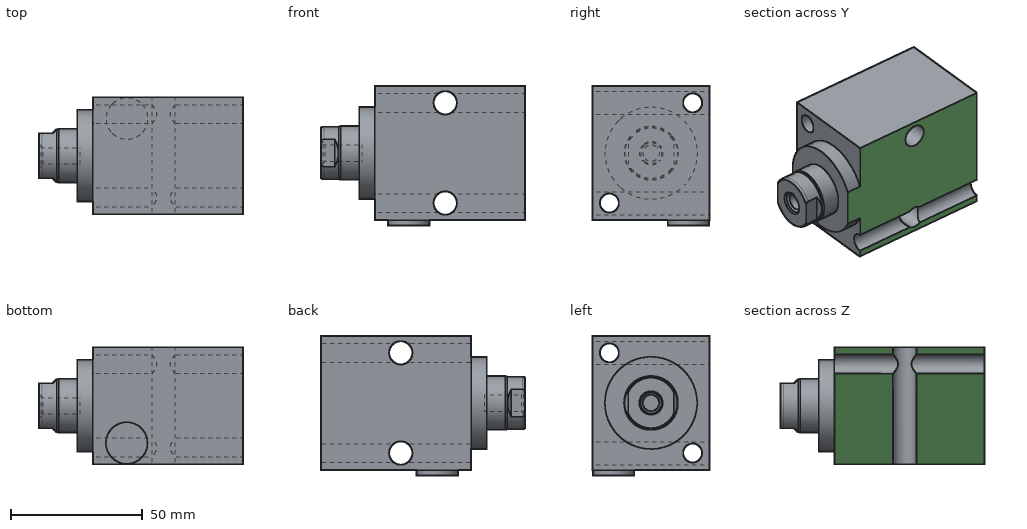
import cadquery as cq

body_length = 57.0
body_width = 44.5
body_height = 51.0

collar_diameter = 35.0
collar_length = 6.0

overall_length = 77.5
rod_length = overall_length - body_length - collar_length
rod_diameter = 20.5
rod_tip_x = body_length - overall_length
neck_diameter = 20.1
neck_length = 6.8
shoulder_length = 0.7
tip_round_length = 1.0
tip_round_depth = 0.5
tip_round_radius = (tip_round_length**2 + tip_round_depth**2) / (2 * tip_round_depth)

flat_spacing = 17.2
flat_length = 5.2

bore_diameter = 6.2
bore_depth = 15.5
mouth_diameter = 8.9
mouth_cone_depth = 0.7
throat_diameter = 8.0
throat_cone_depth = 0.7

hole_spacing_z = 38.0
cross_hole_diameter = 8.75
cross_hole_x = 26.7
long_hole_diameter = 7.1
long_hole_spacing_y = 31.6

pad_diameter = 15.8
pad_height = 2.1
pad_x = 12.85
pad_y = 14.2


def cylinder_x(start_x, length, diameter):
    return cq.Workplane("YZ", origin=(start_x, 0, 0)).circle(diameter / 2).extrude(length)


def make_rod():
    rod_radius = rod_diameter / 2
    neck_radius = neck_diameter / 2
    shoulder_x = rod_tip_x + neck_length
    rod = (
        cq.Workplane("XY")
        .moveTo(rod_tip_x, 0)
        .lineTo(rod_tip_x, neck_radius - tip_round_depth)
        .radiusArc((rod_tip_x + tip_round_length, neck_radius), tip_round_radius)
        .lineTo(shoulder_x, neck_radius)
        .lineTo(shoulder_x + shoulder_length, rod_radius)
        .lineTo(rod_tip_x + rod_length, rod_radius)
        .lineTo(rod_tip_x + rod_length, 0)
        .close()
        .revolve(360, (0, 0, 0), (1, 0, 0))
    )
    half_flat = flat_spacing / 2
    runout = rod_radius - half_flat
    flat_end_x = rod_tip_x + flat_length
    for side in (-1, 1):
        flat_cut = (
            cq.Workplane("XY")
            .moveTo(rod_tip_x, side * half_flat)
            .lineTo(flat_end_x, side * half_flat)
            .lineTo(flat_end_x + runout, side * rod_radius)
            .lineTo(rod_tip_x, side * rod_radius)
            .close()
            .extrude(rod_radius, both=True)
        )
        rod = rod.cut(flat_cut)
    return rod


def make_bore():
    throat_x = rod_tip_x + mouth_cone_depth
    bore_start_x = throat_x + throat_cone_depth
    return (
        cq.Workplane("XY")
        .moveTo(rod_tip_x, 0)
        .lineTo(rod_tip_x, mouth_diameter / 2)
        .lineTo(throat_x, throat_diameter / 2)
        .lineTo(bore_start_x, bore_diameter / 2)
        .lineTo(rod_tip_x + bore_depth, bore_diameter / 2)
        .lineTo(rod_tip_x + bore_depth, 0)
        .close()
        .revolve(360, (0, 0, 0), (1, 0, 0))
    )


def make_cross_holes():
    return (
        cq.Workplane("XZ", origin=(cross_hole_x, 0, 0))
        .rarray(0.8, hole_spacing_z, 1, 2)
        .circle(cross_hole_diameter / 2)
        .extrude(body_width / 2, both=True)
    )


def make_long_holes():
    corner_y = long_hole_spacing_y / 2
    corner_z = hole_spacing_z / 2
    return (
        cq.Workplane("YZ")
        .pushPoints([(corner_y, corner_z), (-corner_y, -corner_z)])
        .circle(long_hole_diameter / 2)
        .extrude(body_length)
    )


body = cq.Workplane("XY").box(body_length, body_width, body_height, centered=(False, True, True))
collar = cylinder_x(-collar_length, collar_length, collar_diameter)
pad = (
    cq.Workplane("XY", origin=(pad_x, pad_y, -body_height / 2))
    .circle(pad_diameter / 2)
    .extrude(-pad_height)
)

result = body.union(collar).union(make_rod()).union(pad)
result = result.cut(make_bore()).cut(make_cross_holes()).cut(make_long_holes())